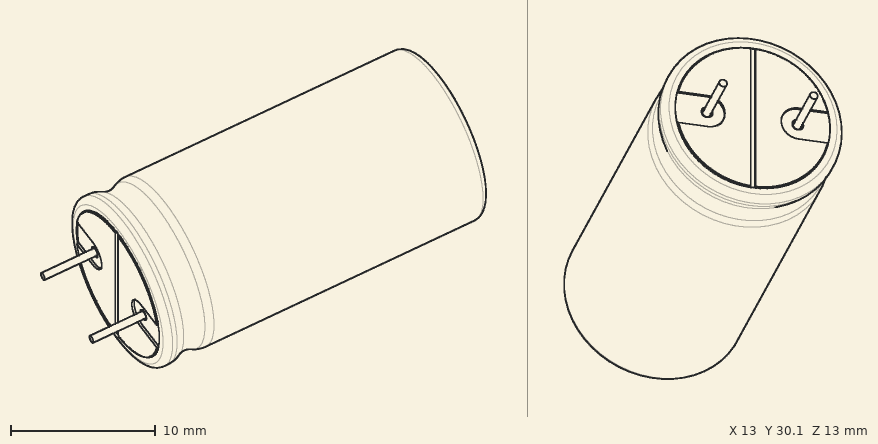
import cadquery as cq
import math


total_length = 30.1
lead_length = 4.0
pad_height = 0.1
can_length = total_length - lead_length - pad_height

can_diameter = 13.0
rim_fillet = 0.48
can_radius = can_diameter / 2

groove_start = 22.18
groove_end = 25.15
groove_depth = 0.4
shoulder_length = 0.63

seal_diameter = 11.1
seal_recess = 0.1
pad_diameter = 11.0
center_channel_width = 0.35
lead_slot_width = 2.47

lead_spacing = 6.5
lead_radius = 0.277
lead_hole_diameter = 0.63
lead_hole_mouth_diameter = 0.8
lead_hole_depth = 0.18
lead_hole_chamfer = (lead_hole_mouth_diameter - lead_hole_diameter) / 2

closed_end = total_length / 2
seal_face = closed_end - can_length
seal_floor = seal_face + seal_recess
pad_face = seal_face - pad_height
lead_root = seal_floor + lead_hole_depth
lead_tip = -total_length / 2
lead_positions = (-lead_spacing / 2, lead_spacing / 2)


def cylinder(diameter, start, end, x=0.0):
    """Cylinder along Y between two Y positions, start being the higher one."""
    return (
        cq.Workplane("XZ", origin=(x, start, 0))
        .circle(diameter / 2)
        .extrude(start - end)
    )


def make_can():
    """Revolved can with rounded rims and a smooth crimp groove near the seal."""
    groove_length = groove_end - groove_start
    waist_length = groove_length - 2 * shoulder_length

    half_groove = groove_length / 2
    radius_sum = (half_groove**2 + groove_depth**2) / (2 * groove_depth)
    slope = math.asin(half_groove / radius_sum)
    shoulder_radius = shoulder_length / math.sin(slope)
    waist_radius = waist_length / 2 / math.sin(slope)

    joint_radius = can_radius - shoulder_radius * (1 - math.cos(slope))
    shoulder_mid_drop = shoulder_radius * (1 - math.cos(slope / 2))
    shoulder_mid_offset = shoulder_radius * math.sin(slope / 2)
    shoulder_mid_radius = can_radius - shoulder_mid_drop
    waist_bottom = joint_radius - waist_radius * (1 - math.cos(slope))

    groove_top = closed_end - groove_start
    groove_bottom = closed_end - groove_end
    groove_middle = (groove_top + groove_bottom) / 2
    rim_radius = can_radius - rim_fillet
    rim_mid_radius = rim_radius + rim_fillet * math.sin(math.pi / 4)
    rim_mid_offset = rim_fillet * (1 - math.cos(math.pi / 4))

    return (
        cq.Workplane("XY")
        .moveTo(0, closed_end)
        .lineTo(rim_radius, closed_end)
        .threePointArc(
            (rim_mid_radius, closed_end - rim_mid_offset),
            (can_radius, closed_end - rim_fillet),
        )
        .lineTo(can_radius, groove_top)
        .threePointArc(
            (shoulder_mid_radius, groove_top - shoulder_mid_offset),
            (joint_radius, groove_top - shoulder_length),
        )
        .threePointArc((waist_bottom, groove_middle), (joint_radius, groove_bottom + shoulder_length))
        .threePointArc(
            (shoulder_mid_radius, groove_bottom + shoulder_mid_offset),
            (can_radius, groove_bottom),
        )
        .lineTo(can_radius, seal_face + rim_fillet)
        .threePointArc((rim_mid_radius, seal_face + rim_mid_offset), (rim_radius, seal_face))
        .lineTo(0, seal_face)
        .close()
        .revolve(360, (0, 0, 0), (0, 1, 0))
    )


def make_pads():
    """Two raised half-disc pads, split by a center channel and notched around each lead."""
    pad_thickness = seal_floor - pad_face
    pad_middle = (seal_floor + pad_face) / 2
    pads = cylinder(pad_diameter, seal_floor, pad_face)
    channel = cq.Workplane("XY").box(center_channel_width, pad_thickness, pad_diameter)
    pads = pads.cut(channel.translate((0, pad_middle, 0)))

    for x in lead_positions:
        outward_shift = math.copysign(can_radius / 2, x)
        straight = cq.Workplane("XY").box(can_radius, pad_thickness, lead_slot_width)
        pads = pads.cut(cylinder(lead_slot_width, seal_floor, pad_face, x))
        pads = pads.cut(straight.translate((x + outward_shift, pad_middle, 0)))
    return pads


def make_lead_hole(x):
    """Shallow clearance hole around a lead, with a chamfered mouth at the seal floor."""
    hole = cylinder(lead_hole_diameter, lead_root, seal_floor, x)
    mouth = (
        cq.Workplane("XZ", origin=(x, seal_floor + lead_hole_chamfer, 0))
        .circle(lead_hole_diameter / 2)
        .workplane(offset=lead_hole_chamfer)
        .circle(lead_hole_mouth_diameter / 2)
        .loft(ruled=True)
    )
    return hole.union(mouth)


result = make_can()
result = result.cut(cylinder(seal_diameter, seal_floor, seal_face))
result = result.union(make_pads())
for lead_x in lead_positions:
    result = result.cut(make_lead_hole(lead_x))
    result = result.union(cylinder(2 * lead_radius, lead_root, lead_tip, lead_x))